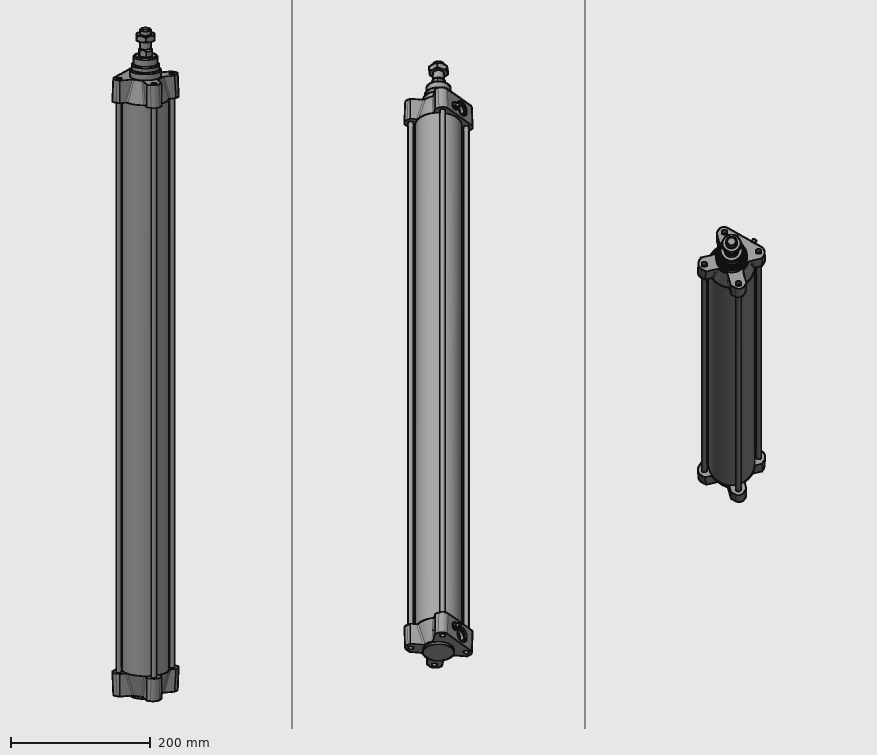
import cadquery as cq
import math

overall_length = 994.0
rear_boss_height = 4.0
head_length = 34.0
front_face_z = 923.0
rear_face_z = rear_boss_height
front_joint_z = front_face_z - head_length
rear_joint_z = rear_face_z + head_length

head_half_width = 38.0
corner_radius = 9.4
screw_offset = head_half_width - corner_radius
arm_corner = 22.0
notch_angles = (0, 90, 270)
head_draft = 1.5
screw_hole_diameter = 8.0
screw_hole_depth = 15.0
hub_face_diameter = 50.0
hub_tube_diameter = 68.0
hub_fillet = 3.0

tube_diameter = 67.0
tie_rod_diameter = 8.0

port_y = -7.0
port_face_distance = 16.0
port_recess_diameter = 23.0
port_recess_x = -34.0
port_diameter = 16.0
port_bottom_x = -28.0
port_pilot_diameter = 12.0
port_pilot_x = -24.0
cushion_y = 11.0
cushion_face_distance = 21.0
cushion_seat_diameter = 12.0
cushion_seat_x = -41.0
cushion_seat_chamfer = 2.0
cushion_tip_diameter = 6.0
cushion_tip_x = -47.0

boss_diameter = 45.0
boss_top_z = 934.0
boss_chamfer = 2.0
shoulder_diameter = 40.0
shoulder_top_z = 942.0
shoulder_chamfer = 2.0
collar_diameter = 35.0
collar_top_z = 954.0
collar_chamfer = 2.0

rod_diameter = 20.0
rod_flats = 17.0
rod_shoulder_z = 962.0
thread_start_z = 965.0
thread_diameter = 16.0
thread_chamfer = 2.0
nut_flats = 26.0
nut_corners = nut_flats / math.cos(math.pi / 6)
nut_thickness = 9.0
nut_top_z = 986.0
nut_chamfer = 2.0


def cylinder(diameter, bottom_z, top_z):
    """Cylinder about the Z axis between two heights."""
    return cq.Workplane("XY").workplane(offset=bottom_z).circle(diameter / 2).extrude(top_z - bottom_z)


def x_cylinder(diameter, start_x, end_x, y, z):
    """Cylinder along X between two X positions."""
    plane = cq.Workplane("YZ", origin=(start_x, 0, 0))
    return plane.center(y, z).circle(diameter / 2).extrude(end_x - start_x)


def cone(bottom_diameter, top_diameter, bottom_z, top_z):
    """Frustum about the Z axis between two heights."""
    base = cq.Workplane("XY").workplane(offset=bottom_z).circle(bottom_diameter / 2)
    return base.workplane(offset=top_z - bottom_z).circle(top_diameter / 2).loft()


def corner_bars(diameter, bottom_z, top_z):
    """Four round bars at the screw positions."""
    corners = cq.Workplane("XY", origin=(0, 0, bottom_z))
    corners = corners.rect(2 * screw_offset, 2 * screw_offset, forConstruction=True).vertices()
    return corners.circle(diameter / 2).extrude(top_z - bottom_z)


def notch(angle):
    """Right-angled V notch through a head, opening toward the given angle."""
    apex = head_half_width - arm_corner
    reach = 2 * head_half_width
    wedge = cq.Workplane("XY").polyline([(apex, 0), (apex + reach, reach), (apex + reach, -reach)]).close()
    return wedge.extrude(head_length).rotate((0, 0, 0), (0, 0, 1), angle)


def head_outline(width_x):
    """Rectangle with rounded corners that keeps the full head width along Y."""
    return cq.Sketch().rect(width_x, 2 * head_half_width).vertices().fillet(corner_radius)


def head_body():
    """Head with its tube side at z = 0 and its outer face at z = head_length."""
    tube_side = head_outline(2 * head_half_width)
    outer_side = head_outline(2 * (head_half_width - head_draft))
    outer_side = outer_side.moved(cq.Location(cq.Vector(0, 0, head_length)))
    head = cq.Workplane("XY").placeSketch(tube_side, outer_side).loft()
    for angle in notch_angles:
        head = head.cut(notch(angle))
    head = head.union(cone(hub_tube_diameter, hub_face_diameter, 0, head_length))
    head = head.edges("%HYPERBOLA").fillet(hub_fillet)
    screw_holes = corner_bars(screw_hole_diameter, head_length - screw_hole_depth, head_length)
    return head.cut(screw_holes)


def add_fittings(head, face_z, inward):
    """Cut the port and add the cushion screw; `inward` is the Z direction from the face to the tube."""
    port_z = face_z + inward * port_face_distance
    cushion_z = face_z + inward * cushion_face_distance
    seat = x_cylinder(cushion_seat_diameter, cushion_seat_x, -screw_offset, cushion_y, cushion_z)
    seat = seat.faces("<X").chamfer(cushion_seat_chamfer)
    tip = x_cylinder(cushion_tip_diameter, cushion_tip_x, cushion_seat_x, cushion_y, cushion_z)
    recess = x_cylinder(port_recess_diameter, -head_half_width, port_recess_x, port_y, port_z)
    port = x_cylinder(port_diameter, port_recess_x, port_bottom_x, port_y, port_z)
    pilot = x_cylinder(port_pilot_diameter, port_bottom_x, port_pilot_x, port_y, port_z)
    return head.cut(recess).cut(port).cut(pilot).union(seat).union(tip)


def make_housing():
    front_head = head_body().translate((0, 0, front_joint_z))
    front_head = add_fittings(front_head, front_face_z, -1)
    rear_head = head_body().mirror("XY").translate((0, 0, rear_joint_z))
    rear_head = add_fittings(rear_head, rear_face_z, 1)

    housing = cylinder(tube_diameter, rear_joint_z, front_joint_z)
    housing = housing.union(corner_bars(tie_rod_diameter, rear_joint_z, front_joint_z))
    housing = housing.union(front_head).union(rear_head)

    rear_boss = cylinder(boss_diameter, 0, rear_face_z)
    front_boss = cylinder(boss_diameter, front_face_z, boss_top_z).faces(">Z").chamfer(boss_chamfer)
    shoulder = cylinder(shoulder_diameter, boss_top_z, shoulder_top_z)
    shoulder = shoulder.faces(">Z").chamfer(shoulder_chamfer)
    collar = cylinder(collar_diameter, shoulder_top_z, collar_top_z)
    collar = collar.faces(">Z").chamfer(collar_chamfer)
    for step in (rear_boss, front_boss, shoulder, collar):
        housing = housing.union(step)
    return housing.cut(cylinder(rod_diameter, front_joint_z, collar_top_z))


def make_rod():
    """Rod from the tube end of the front head up to its threaded tip, with wrench flats facing Y."""
    shank = cylinder(rod_diameter, front_joint_z, collar_top_z)
    end = cylinder(rod_diameter, collar_top_z, rod_shoulder_z)
    end = end.union(cone(rod_diameter, thread_diameter, rod_shoulder_z, thread_start_z))
    end = end.intersect(cq.Workplane("XY").box(rod_diameter, rod_flats, 2 * overall_length))
    thread = cylinder(thread_diameter, thread_start_z, overall_length)
    thread = thread.faces(">Z").chamfer(thread_chamfer)
    return shank.union(end).union(thread)


def make_nut():
    """Hexagon nut with corners on the X axis, chamfered on both sides."""
    bottom_z = nut_top_z - nut_thickness
    hexagon = cq.Workplane("XY", origin=(0, 0, bottom_z)).polygon(6, nut_corners).extrude(nut_thickness)
    rounded = cylinder(nut_corners, bottom_z, nut_top_z).faces("<Z or >Z").chamfer(nut_chamfer)
    return hexagon.intersect(rounded).cut(cylinder(thread_diameter, bottom_z, nut_top_z))


housing = make_housing()
rod = make_rod()
nut = make_nut()
result = cq.Compound.makeCompound([housing.val(), rod.val(), nut.val()])